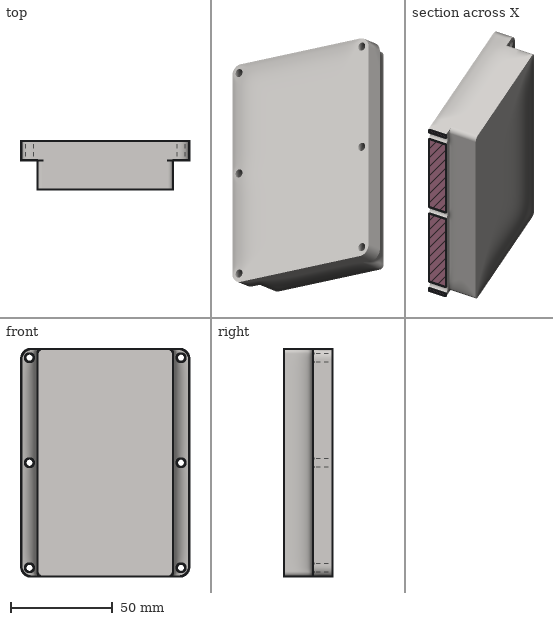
import cadquery as cq

length = 112.19
depth = 23.88
flange_width = 82.8
flange_thickness = 9.53
flange_radius = 5.08

body_width = 66.7
body_height = depth - flange_thickness
body_radius = 2.4

hole_diameter = 4.12
hole_spacing_x = 74.6
hole_spacing_z = 51.7
hole_columns = 2
hole_rows = 3

back_y = depth / 2
flange_front_y = back_y - flange_thickness


def rounded_plate(width, thickness, radius, rear_y):
    """Full-length plate with rounded corners, growing toward -Y from its rear face."""
    return (
        cq.Workplane("XZ", origin=(0, rear_y, 0))
        .rect(width, length)
        .extrude(thickness)
        .edges("|Y")
        .fillet(radius)
    )


def mounting_holes():
    """Cylinders that pass through the flange at every mounting hole."""
    return (
        cq.Workplane("XZ", origin=(0, back_y, 0))
        .rarray(hole_spacing_x, hole_spacing_z, hole_columns, hole_rows)
        .circle(hole_diameter / 2)
        .extrude(flange_thickness)
    )


flange = rounded_plate(flange_width, flange_thickness, flange_radius, back_y)
body = rounded_plate(body_width, body_height, body_radius, flange_front_y)
result = flange.union(body).cut(mounting_holes())